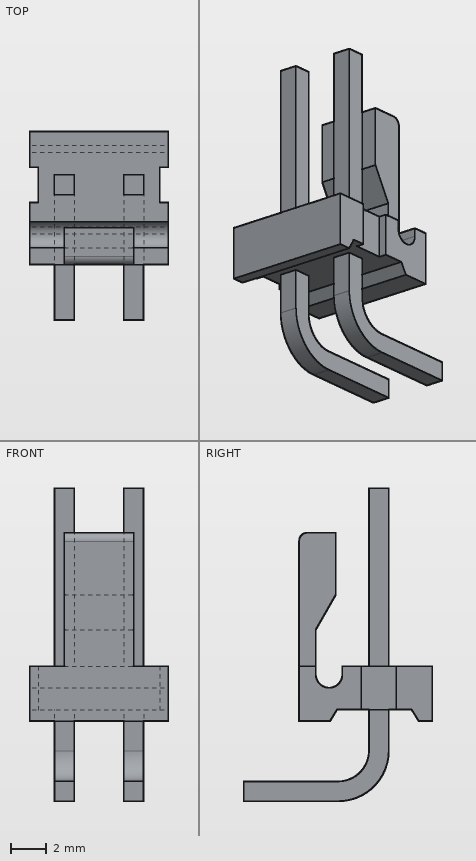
import cadquery as cq


body_width = 7.93
body_back = 3.06
body_front = -4.56
body_height = 3.15

recess_height = 0.66
recess_back = 2.27
recess_front = -2.79
recess_slope_run = 0.41

notch_depth = 0.48
notch_length = 2.0

groove_width = 1.5
groove_depth = 1.23

latch_width = body_width / 2
latch_stem_thickness = 0.97
latch_head_thickness = 2.11
latch_slope_start = 5.22
latch_slope_end = 7.23
latch_top = 10.77
latch_edge_radius = 0.48

pin_pitch = body_width / 2
pin_size = 1.15
pin_length = 17.89
pin_top = 13.31
pin_bottom = pin_top - pin_length
pin_tail_reach = 7.73
bend_outer_radius = 2.9
bend_inner_radius = bend_outer_radius - pin_size


def extrude_across(profile, width):
    """Extrude a YZ profile symmetrically about X = 0."""
    return profile.close().extrude(width / 2, both=True)


def make_housing():
    profile = (
        cq.Workplane("YZ")
        .moveTo(body_front, 0)
        .lineTo(recess_front, 0)
        .lineTo(recess_front + recess_slope_run, recess_height)
        .lineTo(recess_back - recess_slope_run, recess_height)
        .lineTo(recess_back, 0)
        .lineTo(body_back, 0)
        .lineTo(body_back, body_height)
        .lineTo(body_front, body_height)
    )
    housing = extrude_across(profile, body_width)
    for side in (-1, 1):
        notch = (
            cq.Workplane("XY")
            .center(side * body_width / 2, 0)
            .rect(2 * notch_depth, notch_length)
            .extrude(body_height)
        )
        housing = housing.cut(notch)
    return housing.cut(make_groove())


def make_groove():
    front = body_front + latch_stem_thickness
    back = front + groove_width
    radius = groove_width / 2
    bottom = body_height - groove_depth
    profile = (
        cq.Workplane("YZ")
        .moveTo(front, body_height)
        .lineTo(front, bottom + radius)
        .threePointArc((front + radius, bottom), (back, bottom + radius))
        .lineTo(back, body_height)
    )
    return extrude_across(profile, body_width)


def make_latch():
    stem_back = body_front + latch_stem_thickness
    head_back = body_front + latch_head_thickness
    profile = (
        cq.Workplane("YZ")
        .moveTo(body_front, body_height)
        .lineTo(stem_back, body_height)
        .lineTo(stem_back, latch_slope_start)
        .lineTo(head_back, latch_slope_end)
        .lineTo(head_back, latch_top)
        .lineTo(body_front, latch_top)
    )
    latch = extrude_across(profile, latch_width)
    return latch.edges("|X").edges(">Z").edges("<Y").fillet(latch_edge_radius)


def make_pin(x):
    half = pin_size / 2
    profile = (
        cq.Workplane("YZ")
        .moveTo(half, pin_top)
        .lineTo(-half, pin_top)
        .lineTo(-half, pin_bottom + bend_outer_radius)
        .radiusArc((-half - bend_inner_radius, pin_bottom + pin_size), bend_inner_radius)
        .lineTo(-pin_tail_reach, pin_bottom + pin_size)
        .lineTo(-pin_tail_reach, pin_bottom)
        .lineTo(half - bend_outer_radius, pin_bottom)
        .radiusArc((half, pin_bottom + bend_outer_radius), -bend_outer_radius)
    )
    return extrude_across(profile, pin_size).translate((x, 0, 0))


result = make_housing().union(make_latch())
for pin_x in (-pin_pitch / 2, pin_pitch / 2):
    result = result.union(make_pin(pin_x))